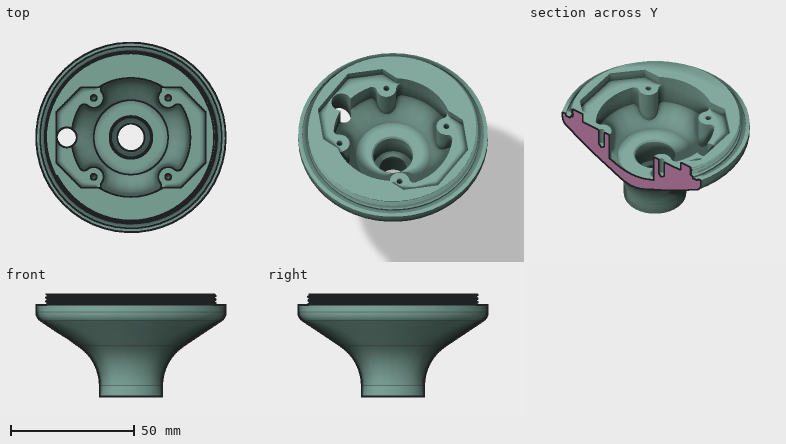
import cadquery as cq
import math

TOTAL_HEIGHT = 41.6
FLANGE_TOP = 37.2
FLANGE_STRAIGHT_BOTTOM = 34.4
CONE_TOP = 30.95
POCKET_FLOOR = 37.35
BOWL_RIM = 28.25
BOWL_FLOOR = 21.2
BEARING_FLOOR = 10.4

FLANGE_RADIUS = 38.5
CONE_TOP_RADIUS = 36.9
NECK_RADIUS = 12.7
FLARE_RADIUS = 19.25
CONE_ANGLE = math.radians(33.7)

GROOVE_OUTER_RADIUS = 73.8 / 2
GROOVE_INNER_RADIUS = 70.0 / 2
GROOVE_DEPTH = 1.0

THREAD_ROOT_RADIUS = 33.7
THREAD_CREST_RADIUS = 34.5
THREAD_PITCH = 3.0 / 2
THREAD_TOOTH_HEIGHT = 1.4
THREAD_OVERLAP = 0.15
THREAD_TURNS = 4.6
BODY_SEAM_ANGLE = 77.0
FIRST_CREST_HEIGHT = 0.7

BOWL_RADIUS = 24.2
BOWL_FLOOR_RADIUS = 15.1
POCKET_HALF_X = 30.25
POCKET_HALF_Y = 20.4
POCKET_CORNER_X = 20.25
POCKET_CORNER_Y = 10.3
BEARING_RADIUS = 16.2 / 2
BEARING_CHAMFER = 0.6
BORE_RADIUS = 11.0 / 2

BOSS_X = 15.1
BOSS_Y = 16.0
BOSS_RADIUS = 4.0
BOSS_FILLET = 2.0
SCREW_HOLE_RADIUS = 2.5 / 2
SCREW_HOLE_DEPTH = 7.7
WIRE_HOLE_RADIUS = 8.0 / 2
WIRE_HOLE_X = -26.0

BOSS_CENTERS = [(x, y) for x in (-BOSS_X, BOSS_X) for y in (-BOSS_Y, BOSS_Y)]


def cylinder(radius, bottom, top):
    return cq.Workplane("XY").workplane(offset=bottom).circle(radius).extrude(top - bottom)


def outer_body():
    """Neck, flared cone, rounded flange and plain collar, turned about Z."""
    flare_sweep = math.pi / 2 - CONE_ANGLE
    flare_end_radius = NECK_RADIUS + FLARE_RADIUS * (1 - math.cos(flare_sweep))
    flare_end = CONE_TOP - (CONE_TOP_RADIUS - flare_end_radius) * math.tan(CONE_ANGLE)
    flare_start = flare_end - FLARE_RADIUS * math.sin(flare_sweep)
    flare_middle = (
        NECK_RADIUS + FLARE_RADIUS * (1 - math.cos(flare_sweep / 2)),
        flare_start + FLARE_RADIUS * math.sin(flare_sweep / 2),
    )

    rounding_height = FLANGE_STRAIGHT_BOTTOM - CONE_TOP
    rounding_sweep = 2 * math.atan((FLANGE_RADIUS - CONE_TOP_RADIUS) / rounding_height)
    rounding_radius = rounding_height / math.sin(rounding_sweep)
    rounding_middle = (
        FLANGE_RADIUS - rounding_radius * (1 - math.cos(rounding_sweep / 2)),
        FLANGE_STRAIGHT_BOTTOM - rounding_radius * math.sin(rounding_sweep / 2),
    )

    return (
        cq.Workplane("XZ")
        .lineTo(NECK_RADIUS, 0)
        .lineTo(NECK_RADIUS, flare_start)
        .threePointArc(flare_middle, (flare_end_radius, flare_end))
        .lineTo(CONE_TOP_RADIUS, CONE_TOP)
        .threePointArc(rounding_middle, (FLANGE_RADIUS, FLANGE_STRAIGHT_BOTTOM))
        .lineTo(FLANGE_RADIUS, FLANGE_TOP)
        .lineTo(THREAD_ROOT_RADIUS, FLANGE_TOP)
        .lineTo(THREAD_ROOT_RADIUS, TOTAL_HEIGHT)
        .lineTo(0, TOTAL_HEIGHT)
        .close()
        .revolve(360, (0, 0), (0, 1))
    )


def thread():
    """Helical V ridge, trimmed to the height of the collar."""
    start = FLANGE_TOP + FIRST_CREST_HEIGHT - THREAD_PITCH
    helix = cq.Wire.makeHelix(THREAD_PITCH, THREAD_TURNS * THREAD_PITCH, THREAD_ROOT_RADIUS)
    half_height = THREAD_TOOTH_HEIGHT / 2
    ridge = (
        cq.Workplane("XZ")
        .moveTo(THREAD_ROOT_RADIUS - THREAD_OVERLAP, -half_height)
        .lineTo(THREAD_CREST_RADIUS, 0)
        .lineTo(THREAD_ROOT_RADIUS - THREAD_OVERLAP, half_height)
        .close()
        .sweep(cq.Workplane(helix), isFrenet=True)
        .translate((0, 0, start))
    )
    return ridge.intersect(cylinder(FLANGE_RADIUS, FLANGE_TOP, TOTAL_HEIGHT))


def seal_groove():
    bottom = FLANGE_TOP - GROOVE_DEPTH
    ring = cylinder(GROOVE_OUTER_RADIUS, bottom, FLANGE_TOP)
    return ring.cut(cylinder(GROOVE_INNER_RADIUS, bottom, FLANGE_TOP))


def octagon_pocket():
    """Shallow eight-sided recess joined with the round mouth of the bowl."""
    quarter = [(POCKET_HALF_X, POCKET_CORNER_Y), (POCKET_CORNER_X, POCKET_HALF_Y)]
    right_to_left = quarter + [(-x, y) for x, y in reversed(quarter)]
    outline = right_to_left + [(-x, -y) for x, y in right_to_left]
    octagon = (
        cq.Workplane("XY").workplane(offset=POCKET_FLOOR)
        .polyline(outline).close().extrude(TOTAL_HEIGHT - POCKET_FLOOR)
    )
    return octagon.union(cylinder(BOWL_RADIUS, POCKET_FLOOR, TOTAL_HEIGHT))


def bowl():
    """Conical-bottomed bowl with four screw bosses left standing at its wall."""
    depth = POCKET_FLOOR - BOWL_FLOOR
    bosses = (
        cq.Workplane("XY").workplane(offset=BOWL_FLOOR)
        .pushPoints(BOSS_CENTERS).circle(BOSS_RADIUS).extrude(depth)
    )
    seam_angle = math.degrees(math.atan2(BOSS_Y, BOSS_X))
    prism = (
        cylinder(BOWL_RADIUS, BOWL_FLOOR, POCKET_FLOOR)
        .rotate((0, 0, 0), (0, 0, 1), seam_angle)
        .cut(bosses)
        .edges("|Z").fillet(BOSS_FILLET)
    )
    envelope = (
        cq.Workplane("XZ")
        .moveTo(0, BOWL_FLOOR)
        .lineTo(BOWL_FLOOR_RADIUS, BOWL_FLOOR)
        .lineTo(BOWL_RADIUS, BOWL_RIM)
        .lineTo(BOWL_RADIUS, POCKET_FLOOR)
        .lineTo(0, POCKET_FLOOR)
        .close()
        .revolve(360, (0, 0), (0, 1))
    )
    return prism.intersect(envelope)


def central_bore():
    """Through bore with a wider bearing seat, chamfered where it meets the bowl."""
    return (
        cq.Workplane("XZ")
        .lineTo(BORE_RADIUS, 0)
        .lineTo(BORE_RADIUS, BEARING_FLOOR)
        .lineTo(BEARING_RADIUS, BEARING_FLOOR)
        .lineTo(BEARING_RADIUS, BOWL_FLOOR - BEARING_CHAMFER)
        .lineTo(BEARING_RADIUS + BEARING_CHAMFER, BOWL_FLOOR)
        .lineTo(0, BOWL_FLOOR)
        .close()
        .revolve(360, (0, 0), (0, 1))
    )


def screw_hole(x, y):
    """Blind hole with a 90 degree drill point."""
    shoulder = POCKET_FLOOR - SCREW_HOLE_DEPTH
    return (
        cq.Workplane("XZ")
        .moveTo(0, POCKET_FLOOR)
        .lineTo(SCREW_HOLE_RADIUS, POCKET_FLOOR)
        .lineTo(SCREW_HOLE_RADIUS, shoulder)
        .lineTo(0, shoulder - SCREW_HOLE_RADIUS)
        .close()
        .revolve(360, (0, 0), (0, 1))
        .translate((x, y, 0))
    )


turned_body = outer_body().cut(seal_groove()).rotate((0, 0, 0), (0, 0, 1), BODY_SEAM_ANGLE)
result = turned_body.union(thread())
result = result.cut(octagon_pocket()).cut(bowl()).cut(central_bore())
for boss_x, boss_y in BOSS_CENTERS:
    result = result.cut(screw_hole(boss_x, boss_y))
wire_hole = cylinder(WIRE_HOLE_RADIUS, 0, TOTAL_HEIGHT).translate((WIRE_HOLE_X, 0, 0))
result = result.cut(wire_hole)